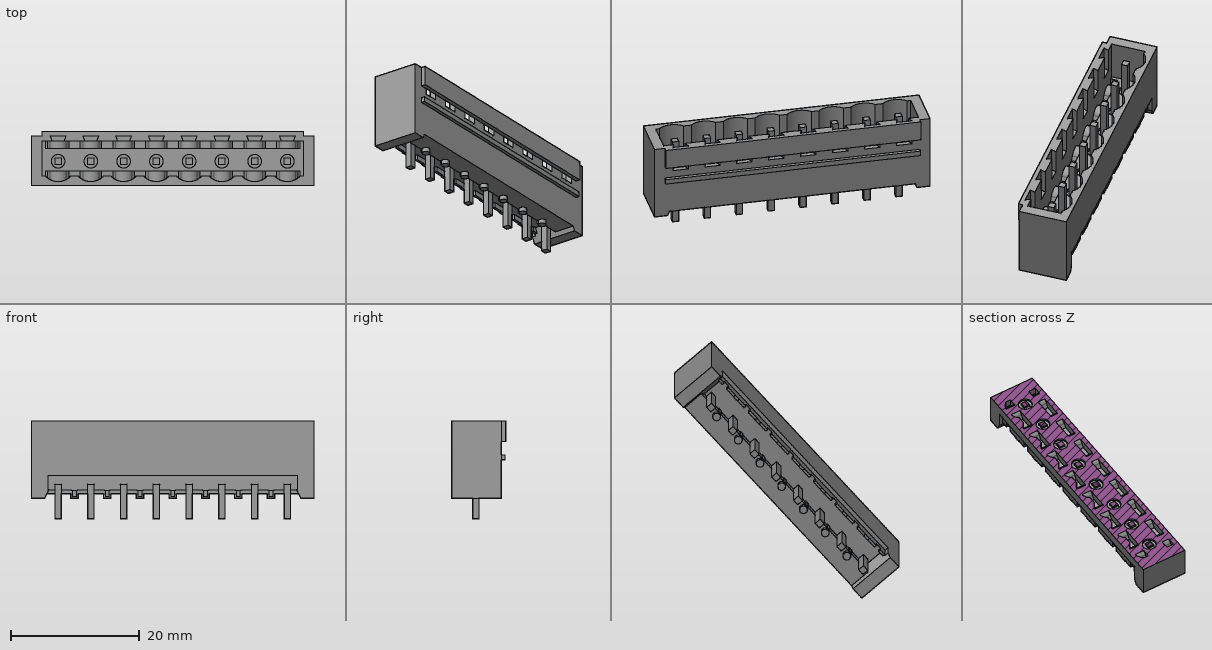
import cadquery as cq
import math

LENGTH = 43.85
DEPTH = 7.7
HEIGHT = 12.0

PIN_COUNT = 8
PIN_ROW_SPAN = 35.55
PIN_WIDTH = 1.0
PIN_Y = 3.75
PIN_BOTTOM = -3.2
PIN_TOP = 11.0
PIN_RELIEF_RADIUS = 1.05
PIN_RELIEF_DEPTH = 0.45

CAVITY_LENGTH = 40.55
CAVITY_FRONT = 1.45
CAVITY_REAR = 6.9
SCALLOP_HALF_WIDTH = 1.95
SCALLOP_DEPTH = 0.85

TROUGH_Z = 4.0
TROUGH_END_MARGIN = 1.97
PLATFORM_FRONT = 2.3
PLATFORM_REAR = 5.75
HUMP_RADIUS = 1.5
HUMP_HALF_WIDTH = 1.65
HUMP_FLANK_ANGLE = 57.0

FLANGE_THICKNESS = 0.7
FLANGE_HEIGHT = 3.2
RIDGE_THICKNESS = 0.55
RIDGE_BOTTOM = 5.95
RIDGE_HEIGHT = 0.8
SLOT_MOUTH_HALF_WIDTH = 0.9
SLOT_BACK_HALF_WIDTH = 1.23
SLOT_BOTTOM = 7.9

RECESS_LENGTH = 38.65
RECESS_DEPTH = 0.6
RECESS_TOP = 3.55
SKIRT_THICKNESS = 0.4
SKIRT_BOTTOM = 1.3
LIP_WIDTH = 0.9
LIP_DEPTH = 0.15
NOTCH_TOP = 2.15

UNDERSIDE_HALF_LENGTH = 19.85
LEG_SLOPE = 0.5
BLOCK_BOTTOM = 0.7
FOOT_RADIUS = 0.6
RIB_WIDTH = 0.55
RIB_DEPTH = 0.15
RIB_BOTTOM = 0.3

pitch = PIN_ROW_SPAN / (PIN_COUNT - 1)
pin_xs = [i * pitch - PIN_ROW_SPAN / 2 for i in range(PIN_COUNT)]
foot_xs = [(a + b) / 2 for a, b in zip(pin_xs, pin_xs[1:])]
trough_half_length = pin_xs[-1] + TROUGH_END_MARGIN
skirt_back = RECESS_DEPTH + SKIRT_THICKNESS
block_front = PIN_Y + PIN_WIDTH / 2
flank_angle = math.radians(HUMP_FLANK_ANGLE)
hump_arc_half_width = HUMP_RADIUS * math.sin(flank_angle)
hump_arc_rise = HUMP_RADIUS * (1 - math.cos(flank_angle))
hump_flank_height = (HUMP_HALF_WIDTH - hump_arc_half_width) * math.tan(flank_angle)
floor_z = TROUGH_Z + hump_flank_height + hump_arc_rise


def block(x0, x1, y0, y1, z0, z1):
    """Box between two opposite corners."""
    return cq.Workplane("XY").box(x1 - x0, y1 - y0, z1 - z0, centered=False).translate((x0, y0, z0))


def centred_block(x, width, y0, y1, z0, z1):
    """Box of the given width, centred on x."""
    return block(x - width / 2, x + width / 2, y0, y1, z0, z1)


def add_rear_ridges(body):
    """Flange along the top of the rear face and a narrow ridge below it."""
    flange = centred_block(0, CAVITY_LENGTH, DEPTH, DEPTH + FLANGE_THICKNESS, HEIGHT - FLANGE_HEIGHT, HEIGHT)
    ridge = centred_block(
        0, CAVITY_LENGTH, DEPTH, DEPTH + RIDGE_THICKNESS, RIDGE_BOTTOM, RIDGE_BOTTOM + RIDGE_HEIGHT
    )
    return body.union(flange).union(ridge)


def scallop(x):
    """Shallow arc in the inside of the front wall, from the trough floor to the top."""
    return (
        cq.Workplane("XY", origin=(x, CAVITY_FRONT, TROUGH_Z))
        .moveTo(-SCALLOP_HALF_WIDTH, 0)
        .threePointArc((0, -SCALLOP_DEPTH), (SCALLOP_HALF_WIDTH, 0))
        .lineTo(SCALLOP_HALF_WIDTH, PLATFORM_FRONT - CAVITY_FRONT)
        .lineTo(-SCALLOP_HALF_WIDTH, PLATFORM_FRONT - CAVITY_FRONT)
        .close()
        .extrude(HEIGHT - TROUGH_Z)
    )


def hump(x):
    """Rounded hump with straight flanks that runs the full depth of the cavity."""
    return (
        cq.Workplane("XZ", origin=(x, 0, TROUGH_Z))
        .moveTo(-HUMP_HALF_WIDTH, 0)
        .lineTo(-hump_arc_half_width, hump_flank_height)
        .threePointArc((0, hump_flank_height + hump_arc_rise), (hump_arc_half_width, hump_flank_height))
        .lineTo(HUMP_HALF_WIDTH, 0)
        .close()
        .extrude(-CAVITY_REAR)
    )


def cavity():
    """Space inside the walls, including the troughs, less the humps."""
    space = centred_block(0, CAVITY_LENGTH, CAVITY_FRONT, CAVITY_REAR, floor_z, HEIGHT)
    for y0, y1 in ((CAVITY_FRONT, PLATFORM_FRONT), (PLATFORM_REAR, CAVITY_REAR)):
        space = space.union(centred_block(0, 2 * trough_half_length, y0, y1, TROUGH_Z, HEIGHT))
    for x in pin_xs:
        space = space.union(scallop(x))
    for x in pin_xs:
        space = space.cut(hump(x))
    return space


def dovetail_slot(x):
    """Slot in the rear wall, widening to the rear and open below the flange."""
    depth = DEPTH - CAVITY_REAR
    return (
        cq.Workplane("XY", origin=(x, CAVITY_REAR, SLOT_BOTTOM))
        .polyline(
            [
                (-SLOT_MOUTH_HALF_WIDTH, 0),
                (SLOT_MOUTH_HALF_WIDTH, 0),
                (SLOT_BACK_HALF_WIDTH, depth),
                (-SLOT_BACK_HALF_WIDTH, depth),
            ]
        )
        .close()
        .extrude(HEIGHT - SLOT_BOTTOM)
    )


def underside_space(y0, y1, top):
    """Space between the sloping end legs, from Z = 0 up to the given height."""
    top_half_length = UNDERSIDE_HALF_LENGTH - LEG_SLOPE * top
    return (
        cq.Workplane("XZ", origin=(0, y0, 0))
        .polyline(
            [
                (-UNDERSIDE_HALF_LENGTH, 0),
                (UNDERSIDE_HALF_LENGTH, 0),
                (top_half_length, top),
                (-top_half_length, top),
            ]
        )
        .close()
        .extrude(y0 - y1)
    )


def cut_underside(body):
    """Front recess, hollow behind the skirt, and clearance under the skirt and the rear block."""
    body = body.cut(centred_block(0, RECESS_LENGTH, 0, RECESS_DEPTH, 0, RECESS_TOP))
    body = body.cut(underside_space(0, skirt_back, SKIRT_BOTTOM))
    body = body.cut(underside_space(skirt_back, block_front, NOTCH_TOP))
    body = body.cut(underside_space(block_front, DEPTH, BLOCK_BOTTOM))
    for x in pin_xs:
        body = body.cut(centred_block(x, PIN_WIDTH, RECESS_DEPTH, skirt_back, 0, NOTCH_TOP))
    return body


def foot(x):
    """Round foot under the rear block, with a flat rib on its front."""
    foot_y = block_front + FOOT_RADIUS
    post = cq.Workplane("XY", origin=(x, foot_y, 0)).circle(FOOT_RADIUS).extrude(SKIRT_BOTTOM)
    rib = centred_block(x, RIB_WIDTH, block_front - RIB_DEPTH, foot_y, RIB_BOTTOM, NOTCH_TOP)
    return post.union(rib)


def skirt_lip(x):
    """Small lip on the lower edge of the skirt, in front of a foot."""
    return centred_block(x, LIP_WIDTH, RECESS_DEPTH, skirt_back, SKIRT_BOTTOM - LIP_DEPTH, SKIRT_BOTTOM)


def pin_relief(x):
    """Shallow round recess in the cavity floor around a pin."""
    relief = cq.Workplane("XY", origin=(x, PIN_Y, floor_z)).circle(PIN_RELIEF_RADIUS)
    return relief.extrude(-PIN_RELIEF_DEPTH)


def make_pin(x):
    """Square contact pin."""
    return centred_block(
        x, PIN_WIDTH, PIN_Y - PIN_WIDTH / 2, PIN_Y + PIN_WIDTH / 2, PIN_BOTTOM, PIN_TOP
    )


def make_housing():
    """Open-topped housing with a fitting hole for each pin."""
    body = centred_block(0, LENGTH, 0, DEPTH, 0, HEIGHT)
    body = add_rear_ridges(body)
    body = body.cut(cavity())
    body = cut_underside(body)
    for x in foot_xs:
        body = body.union(foot(x)).union(skirt_lip(x))
    for x in pin_xs:
        body = body.cut(dovetail_slot(x)).cut(pin_relief(x)).cut(make_pin(x))
    return body


housing = make_housing()
pins = [make_pin(x) for x in pin_xs]

result = cq.Compound.makeCompound([housing.val(), *[pin.val() for pin in pins]])